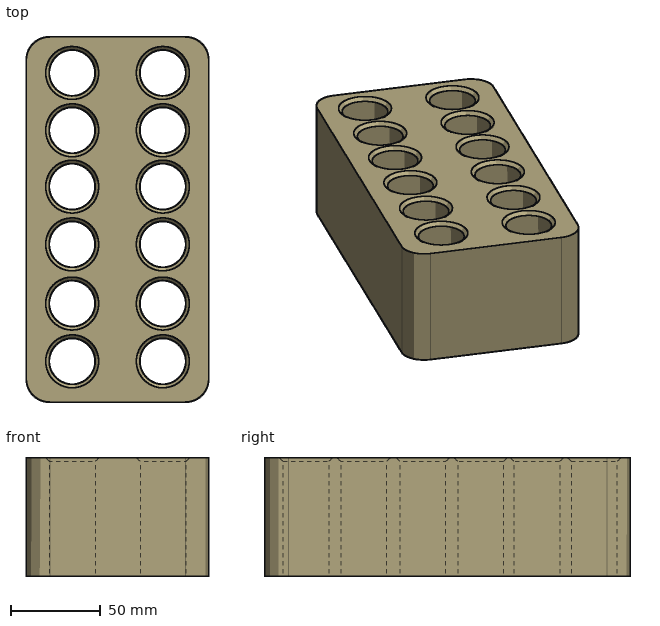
import cadquery as cq

width = 101.5
length = 203.2
height = 66.0
corner_radius = 13.0

hole_diameter = 25.5
mouth_diameter = 29.5
column_spacing = 50.4
row_places = [-78.8, -46.7, -13.8, 18.3, 49.5, 81.5]

mouth_chamfer = (mouth_diameter - hole_diameter) / 2

hole_centers = [
    (x, y)
    for x in (-column_spacing / 2, column_spacing / 2)
    for y in row_places
]


def rounded_block():
    """Plain block with rounded vertical corners, standing on Z = 0."""
    block = cq.Workplane("XY").box(width, length, height, centered=(True, True, False))
    return block.edges("|Z").fillet(corner_radius)


def hole_cutter(x, y):
    """Straight bore that widens at the top face by a 45 degree chamfer."""
    bore = cq.Workplane("XY").center(x, y).circle(hole_diameter / 2).extrude(height)
    mouth = (
        cq.Workplane("XY", origin=(x, y, height))
        .circle(mouth_diameter / 2)
        .workplane(offset=-mouth_chamfer)
        .circle(hole_diameter / 2)
        .loft(ruled=True)
    )
    return bore.union(mouth)


result = rounded_block()
for center_x, center_y in hole_centers:
    result = result.cut(hole_cutter(center_x, center_y))